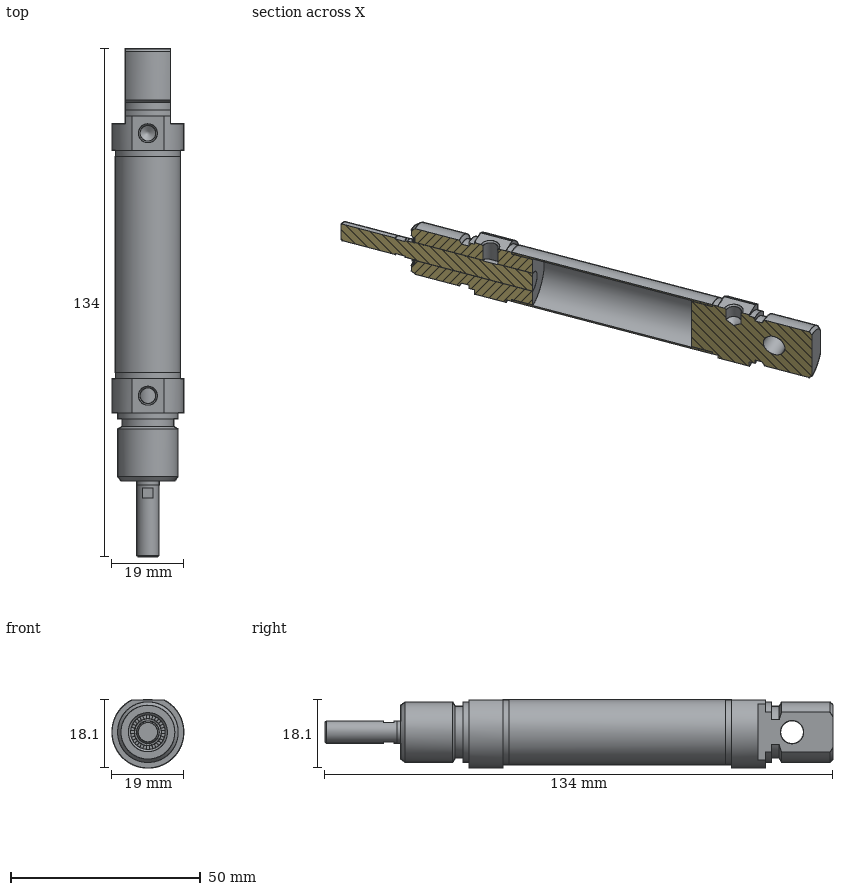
import cadquery as cq
import math

overall_length = 134.0

rod_dia = 6.0
rod_tip_dia = 5.9
rod_tip_length = 19.0
rod_tip_chamfer = 0.4
rod_flat_start = 15.5
rod_flat_length = 2.7
rod_across_flats = 5.2

thread_dia = 16.0
undercut_dia = 13.7
undercut_width = 2.0
collar_width = 1.6
runout_angle = 30.0
runout_length = (thread_dia - undercut_dia) / 2 * math.tan(math.radians(runout_angle))

head_dia = 19.0
head_length = 9.0
pad_height = 8.5
neck_dia = 17.2
neck_length = 1.6
spigot_dia = 16.0
spigot_length = 6.0

port_dia = 4.13
port_mouth_dia = 5.0
port_tip_angle = 118.0
rear_port_floor = 4.6

tube_dia = 17.27

nose_face = 20.0
nose_chamfer_length = 1.2
nose_face_dia = 14.2
front_head_start = 38.0

recess_mouth_dia = 10.3
recess_dia = 9.1
recess_depth = 0.6
lip_dia = 7.1
lip_depth = 0.2
slot_count = 16
slot_width = 0.8
slot_depth = 0.4

tongue_thickness = 12.0
tongue_shoulder = 114.2
tongue_chamfer = 0.8
pivot_dia = 6.0
rear_head_end = 116.2
pivot_y = 123.2

front_head_end = front_head_start + head_length
rear_head_start = rear_head_end - head_length
tube_start = front_head_end + neck_length
tube_end = rear_head_start - neck_length
collar_start = front_head_start - collar_width
rod_end = tube_start + spigot_length


def revolve(profile):
    """Turn a closed (radius, height) profile about the Y axis."""
    return cq.Workplane("XY").polyline(profile).close().revolve(360, (0, 0, 0), (0, 1, 0))


def cylinder(diameter, start, end):
    """Make a round bar on the Y axis that runs from start to end."""
    return cq.Workplane("XZ", origin=(0, start, 0)).circle(diameter / 2).extrude(start - end)


def cut_pad_and_port(cap, head_start, port_cutter):
    """Mill the flat on top of a cap head and sink its port in the middle of the flat."""
    port_y = head_start + head_length / 2
    above_pad = cq.Workplane("XY", origin=(0, port_y, pad_height)).rect(head_dia, head_length)
    cap = cap.cut(above_pad.extrude(head_dia))
    return cap.cut(port_cutter.translate((0, port_y, 0)))


def port(floor, tip):
    """Port cutter standing on the Z axis: chamfered mouth, bore, and a point that ends at tip."""
    bore = port_dia / 2
    mouth = port_mouth_dia / 2
    profile = [
        (0, tip),
        (bore, floor),
        (bore, pad_height - (mouth - bore)),
        (mouth, pad_height),
        (0, pad_height),
    ]
    return cq.Workplane("XZ").polyline(profile).close().revolve(360, (0, 0, 0), (0, 1, 0))


rear_port_tip = rear_port_floor - port_dia / 2 / math.tan(math.radians(port_tip_angle / 2))

front_cap = revolve([
    (0, nose_face),
    (nose_face_dia / 2, nose_face),
    (thread_dia / 2, nose_face + nose_chamfer_length),
    (thread_dia / 2, collar_start - undercut_width - runout_length),
    (undercut_dia / 2, collar_start - undercut_width),
    (undercut_dia / 2, collar_start),
    (thread_dia / 2, collar_start),
    (thread_dia / 2, front_head_start),
    (head_dia / 2, front_head_start),
    (head_dia / 2, front_head_end),
    (neck_dia / 2, front_head_end),
    (neck_dia / 2, tube_start),
    (spigot_dia / 2, tube_start),
    (spigot_dia / 2, rod_end),
    (0, rod_end),
])
recess_floor = nose_face + recess_depth
recess = revolve([
    (0, nose_face),
    (recess_mouth_dia / 2, nose_face),
    (recess_dia / 2, recess_floor),
    (lip_dia / 2, recess_floor),
    (lip_dia / 2, nose_face + lip_depth),
    (0, nose_face + lip_depth),
])
front_cap = front_cap.cut(recess)
slot_length = recess_dia / 2
slot = cq.Workplane("XY").box(slot_length, slot_depth, slot_width, centered=(False, False, True))
slot = slot.translate((0, recess_floor, 0))
slot = slot.intersect(cylinder(recess_dia, recess_floor, recess_floor + slot_depth))
for index in range(slot_count):
    front_cap = front_cap.cut(slot.rotate((0, 0, 0), (0, 1, 0), index * 360 / slot_count))
front_cap = front_cap.cut(cylinder(rod_dia, nose_face, rod_end))
front_cap = cut_pad_and_port(front_cap, front_head_start, port(floor=0, tip=0))

rear_collar_end = rear_head_end + collar_width
rear_cap = revolve([
    (0, tube_end - spigot_length),
    (spigot_dia / 2, tube_end - spigot_length),
    (spigot_dia / 2, tube_end),
    (neck_dia / 2, tube_end),
    (neck_dia / 2, rear_head_start),
    (head_dia / 2, rear_head_start),
    (head_dia / 2, rear_head_end),
    (thread_dia / 2, rear_head_end),
    (thread_dia / 2, rear_collar_end),
    (undercut_dia / 2, rear_collar_end),
    (undercut_dia / 2, rear_collar_end + undercut_width),
    (thread_dia / 2, rear_collar_end + undercut_width + runout_length),
    (thread_dia / 2, overall_length - tongue_chamfer),
    (thread_dia / 2 - tongue_chamfer, overall_length),
    (0, overall_length),
])
cheek_length = overall_length - tongue_shoulder
for side in (-1, 1):
    cheek = cq.Workplane("XY").box(head_dia, cheek_length, head_dia).translate(
        (side * (tongue_thickness + head_dia) / 2, tongue_shoulder + cheek_length / 2, 0)
    )
    rear_cap = rear_cap.cut(cheek)
pivot_hole = cq.Workplane("YZ").center(pivot_y, 0).circle(pivot_dia / 2).extrude(head_dia, both=True)
rear_cap = rear_cap.cut(pivot_hole)
rear_cap = cut_pad_and_port(rear_cap, rear_head_start, port(rear_port_floor, rear_port_tip))

tube = cylinder(tube_dia, tube_start, tube_end).cut(cylinder(spigot_dia, tube_start, tube_end))

rod = revolve([
    (0, 0),
    (rod_tip_dia / 2 - rod_tip_chamfer, 0),
    (rod_tip_dia / 2, rod_tip_chamfer),
    (rod_tip_dia / 2, rod_tip_length),
    (rod_dia / 2, rod_tip_length),
    (rod_dia / 2, rod_end),
    (0, rod_end),
])
for side in (-1, 1):
    flat = cq.Workplane("XY").box(rod_dia, rod_flat_length, rod_dia).translate(
        (0, rod_flat_start + rod_flat_length / 2, side * (rod_across_flats + rod_dia) / 2)
    )
    rod = rod.cut(flat)

result = cq.Compound.makeCompound([front_cap.val(), rear_cap.val(), tube.val(), rod.val()])